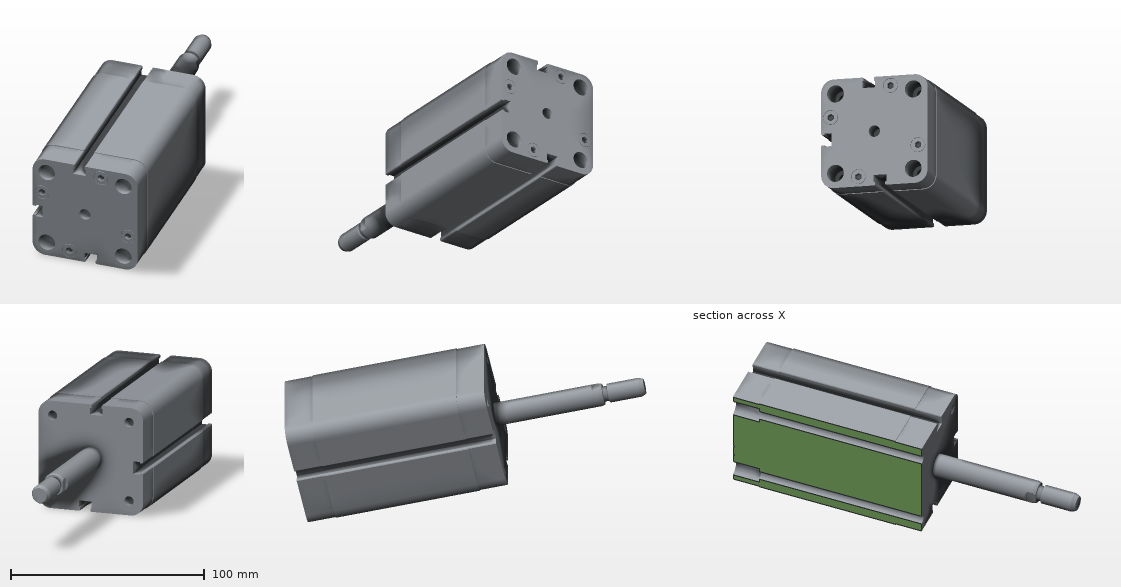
import cadquery as cq

total_length = 184.0
barrel_side = 58.1
cover_side = 57.5
flat_side = 43.8
front_cover_length = 14.7
barrel_length = 76.0
rear_cover_length = 14.7
rear_cover_start = front_cover_length + barrel_length
housing_length = rear_cover_start + rear_cover_length

slot_offset = 3.04
slot_mouth_width = 5.5
slot_mouth_chamfer = 0.4
slot_channel_width = 6.8
slot_channel_top = 26.9
cover_slot_floor = 23.2
barrel_slot_floor = 23.0
slot_angles = (0, 90, 180)

mount_spacing = 42.0
mount_diameter = 5.0
mount_bore_diameter = 9.0
mount_bore_depth = front_cover_length

screw_offset = 8.6
screw_distance = 23.5
screw_positions = [
    (screw_offset, screw_distance),
    (-screw_distance, screw_offset),
    (-screw_offset, -screw_distance),
    (screw_distance, -screw_offset),
]
screw_bore_diameter = 8.0
screw_head_diameter = 7.5
screw_gap_depth = 0.5
socket_across_corners = 3.9
socket_depth = 2.8

center_hole_diameter = 6.0
center_hole_depth = 9.2

rod_diameter = 12.0
rod_chamfer_length = 1.7
rod_chamfer_depth = 0.5
thread_diameter = 10.0
neck_diameter = 8.0
thread_length = 19.0
thread_back_chamfer = 0.5
tip_chamfer_length = 2.4
shoulder_distance = 21.7

wrench_width = 10.0
wrench_length = 4.6
wrench_runout = 1.1


def rounded_bar(side, start, length):
    """Square bar along +Y with rounded long edges that leave flats of equal width."""
    corner_radius = (side - flat_side) / 2
    bar = cq.Workplane("XY").box(side, length, side, centered=(True, False, True))
    return bar.edges("|Y").fillet(corner_radius).translate((0, start, 0))


def cylinder(x, z, diameter, start, length):
    """Cylinder along +Y from Y = start."""
    plane = cq.Workplane("XZ", origin=(x, start, z))
    return plane.circle(diameter / 2).extrude(-length)


def rotated(solid, angle):
    """Solid turned about the rod axis, from the top towards -X for positive angles."""
    return solid.rotate((0, 0, 0), (0, 1, 0), -angle)


def make_housing():
    front_cover = rounded_bar(cover_side, 0, front_cover_length)
    barrel = rounded_bar(barrel_side, front_cover_length, barrel_length)
    rear_cover = rounded_bar(cover_side, rear_cover_start, rear_cover_length)
    return front_cover.union(barrel).union(rear_cover)


def slot_segment(side, floor, start, length):
    """Cutter for the slot in the top side of one housing section."""
    top = side / 2
    half_mouth = slot_mouth_width / 2
    half_channel = slot_channel_width / 2
    half_opening = half_mouth + slot_mouth_chamfer
    right_half = [
        (half_channel, floor),
        (half_channel, slot_channel_top),
        (half_mouth, slot_channel_top),
        (half_mouth, top - slot_mouth_chamfer),
        (half_opening, top),
    ]
    left_half = [(-x, z) for x, z in reversed(right_half)]
    plane = cq.Workplane("XZ", origin=(-slot_offset, start, 0))
    return plane.polyline(right_half + left_half).close().extrude(-length)


def make_slot():
    """Cutter for the full slot in the top side."""
    front = slot_segment(cover_side, cover_slot_floor, 0, front_cover_length)
    middle = slot_segment(barrel_side, barrel_slot_floor, front_cover_length, barrel_length)
    rear = slot_segment(cover_side, cover_slot_floor, rear_cover_start, rear_cover_length)
    return front.union(middle).union(rear)


def make_mount_hole(x, z):
    through = cylinder(x, z, mount_diameter, 0, housing_length)
    return through.union(cylinder(x, z, mount_bore_diameter, 0, mount_bore_depth))


def make_screw_cut(x, z):
    """Ring gap around the head of one cover screw and its hexagon socket."""
    bore = cylinder(x, z, screw_bore_diameter, 0, screw_gap_depth)
    gap = bore.cut(cylinder(x, z, screw_head_diameter, 0, screw_gap_depth))
    socket = (
        cq.Workplane("XZ", origin=(x, 0, z))
        .transformed(rotate=(0, 0, 90))
        .polygon(6, socket_across_corners)
        .extrude(-socket_depth)
    )
    return gap.union(socket)


def make_rod():
    """Turned rod profile revolved about the Y axis, then flattened for a wrench."""
    rod_radius = rod_diameter / 2
    thread_radius = thread_diameter / 2
    neck_radius = neck_diameter / 2
    thread_end = total_length - thread_length
    shoulder = total_length - shoulder_distance
    profile = [
        (0, rear_cover_start),
        (rod_radius, rear_cover_start),
        (rod_radius, shoulder - rod_chamfer_length),
        (rod_radius - rod_chamfer_depth, shoulder),
        (neck_radius, shoulder),
        (neck_radius, thread_end - thread_back_chamfer),
        (thread_radius, thread_end),
        (thread_radius, total_length - tip_chamfer_length),
        (neck_radius, total_length),
        (0, total_length),
    ]
    rod = cq.Workplane("XY").polyline(profile).close().revolve(360, (0, 0, 0), (0, 1, 0))

    half_width = wrench_width / 2
    flat_end = shoulder - wrench_length
    flat_cut = (
        cq.Workplane("XY")
        .polyline(
            [
                (half_width, shoulder),
                (half_width, flat_end),
                (rod_radius, flat_end - wrench_runout),
                (rod_radius, shoulder),
            ]
        )
        .close()
        .extrude(rod_radius, both=True)
    )
    return rod.cut(flat_cut).cut(flat_cut.mirror("YZ"))


body = make_housing()

for angle in slot_angles:
    body = body.cut(rotated(make_slot(), angle))

for x in (-mount_spacing / 2, mount_spacing / 2):
    for z in (-mount_spacing / 2, mount_spacing / 2):
        body = body.cut(make_mount_hole(x, z))

for x, z in screw_positions:
    body = body.cut(make_screw_cut(x, z))

body = body.cut(cylinder(0, 0, center_hole_diameter, 0, center_hole_depth))

result = body.union(make_rod())